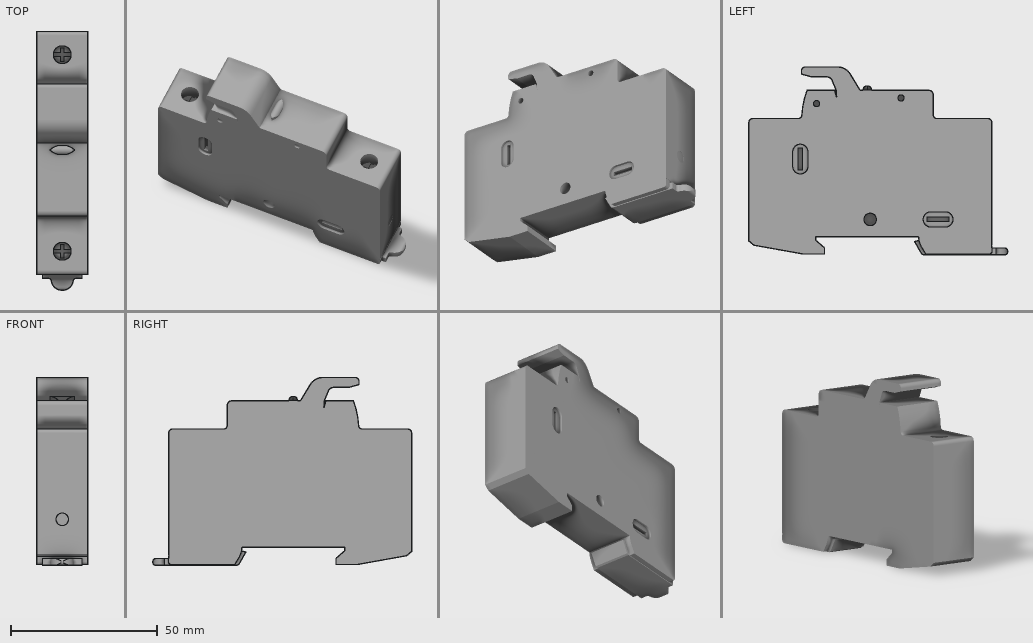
import cadquery as cq


width = 17.5
overall_length = 88.35
overall_height = 64.1
body_length = 83.0
clip_overhang = overall_length - body_length

body_floor = 0.3
rail_top = 6.2
shoulder_top = 46.6
cabin_top = 56.2
shoulder_radius = 1.4
cabin_radius = 1.7

left_face = -width / 2
margin = 0.9


def side_prism(sketch):
    """Close a Y-Z outline and extrude it across the full width."""
    return sketch.close().extrude(width / 2, both=True)


def round_edges(solid, points, radius):
    """Fillet the edges parallel to X that pass nearest the given (y, z) points."""
    for y, z in points:
        edge = cq.selectors.NearestToPointSelector((0, y, z))
        solid = solid.edges("|X").edges(edge).fillet(radius)
    return solid


def side_sketch(y, z):
    """Workplane on the -X face, local x toward +Y and normal pointing into the part."""
    return cq.Workplane(cq.Plane((left_face, y, z), (0, 1, 0), (1, 0, 0)))


foot_front_y = 22.5
rail_front_y = 25.1
flank_bulge = (24.7, 4.4)
flank_end = (24.1, 2.9)
rail_rear_y = 60.1
hook_front_y = 57.1
hook_tip_top = 2.4
hook_root_z = 5.0
ramp_end_y = 64.4
heel_y = 81.2
heel_bottom = 3.3
heel_top = 4.8
cabin_front_y = 20.0
cabin_rear_y = 64.9
cabin_rear_top_y = 63.1
cabin_rear_bulge = (64.3, 51.95)
concave_radius = 1.15
foot_radius = 1.0


def make_housing():
    outline = (
        cq.Workplane("YZ")
        .moveTo(0, body_floor)
        .lineTo(0, shoulder_top)
        .lineTo(cabin_front_y, shoulder_top)
        .lineTo(cabin_front_y, cabin_top)
        .lineTo(cabin_rear_top_y, cabin_top)
        .threePointArc(cabin_rear_bulge, (cabin_rear_y, shoulder_top))
        .lineTo(body_length, shoulder_top)
        .lineTo(body_length, heel_top)
        .lineTo(heel_y, heel_bottom)
        .lineTo(ramp_end_y, body_floor)
        .lineTo(hook_front_y, body_floor)
        .lineTo(hook_front_y, hook_tip_top)
        .lineTo(rail_rear_y, hook_root_z)
        .lineTo(rail_rear_y, rail_top)
        .lineTo(rail_front_y, rail_top)
        .threePointArc(flank_bulge, flank_end)
        .lineTo(foot_front_y, body_floor)
    )
    housing = side_prism(outline)
    shoulder_edges = [
        (0, shoulder_top),
        (body_length, shoulder_top),
    ]
    inner_corners = [
        (cabin_front_y, shoulder_top),
        (cabin_rear_y, shoulder_top),
    ]
    housing = round_edges(housing, shoulder_edges, shoulder_radius)
    housing = round_edges(housing, [(cabin_front_y, cabin_top)], cabin_radius)
    housing = round_edges(housing, inner_corners, concave_radius)
    return round_edges(housing, [(0, body_floor)], foot_radius)


lever_front_y = 45.0
lever_front_top_y = 49.8
lever_front_radius = 5.1
lever_inner_y = 53.2
lever_inner_top_y = 55.0
lever_under_z = 60.7
lever_inner_radius = 1.9
lever_tip_y = 65.0
lever_tip_bottom = 61.7
lip_end_y = 61.6
gap_rear_y = 53.6
gap_bottom = (53.0, 53.9)
lever_tip_radius = 1.4


def make_lever():
    outline = (
        cq.Workplane("YZ")
        .moveTo(lever_front_y, cabin_top)
        .lineTo(lever_front_top_y, overall_height)
        .lineTo(lever_tip_y, overall_height)
        .lineTo(lever_tip_y, lever_tip_bottom)
        .lineTo(lip_end_y, lever_under_z)
        .lineTo(lever_inner_top_y, lever_under_z)
        .lineTo(lever_inner_y, cabin_top)
        .lineTo(lever_inner_y, cabin_top - margin)
        .lineTo(lever_front_y, cabin_top - margin)
    )
    lever = side_prism(outline)
    lever = round_edges(lever, [(lever_front_top_y, overall_height)], lever_front_radius)
    lever = round_edges(lever, [(lever_tip_y, overall_height)], lever_tip_radius)
    return round_edges(lever, [(lever_inner_top_y, lever_under_z)], lever_inner_radius)


def make_lever_gap():
    """Narrow wedge separating the lever from the cabin top behind it."""
    outline = (
        cq.Workplane("YZ")
        .moveTo(lever_inner_y, cabin_top)
        .lineTo(gap_rear_y, cabin_top)
        .lineTo(*gap_bottom)
    )
    return side_prism(outline)


indicator_y = 42.5
indicator_half_length = 4.2
indicator_half_width = 1.7
indicator_radius = 1.5


def make_indicator():
    lens = (
        cq.Workplane("XY", origin=(0, indicator_y, cabin_top - margin))
        .moveTo(-indicator_half_length, 0)
        .threePointArc((0, indicator_half_width), (indicator_half_length, 0))
        .threePointArc((0, -indicator_half_width), (-indicator_half_length, 0))
        .close()
        .extrude(indicator_radius + 2 * margin)
    )
    dome = (
        cq.Workplane("YZ", origin=(0, indicator_y, cabin_top))
        .circle(indicator_radius)
        .extrude(width / 2, both=True)
    )
    return lens.intersect(dome)


clip_half_width = 6.8
clip_thickness = 2.4
clip_step = 1.3
tab_neck = 3.8
tab_neck_y = -2.1
tab_corner_x = 4.15
tab_corner_y = -1.5
tab_root = 4.9
tab_tip_radius = 1.1
clip_height = 4.95
clip_top_front_y = 24.3
clip_top_rear_y = 24.9
clip_rear_y = 26.4
clip_rear_z = 4.6
clip_heel_y = 24.0
clip_heel_z = 0.35
clip_bottom_rear_y = 23.3


def make_clip():
    plan = (
        cq.Workplane("XY")
        .moveTo(-clip_half_width, clip_rear_y)
        .lineTo(-clip_half_width, -clip_step)
        .lineTo(-tab_root, -clip_step)
        .threePointArc((-tab_corner_x, tab_corner_y), (-tab_neck, tab_neck_y))
        .threePointArc((0, -clip_overhang), (tab_neck, tab_neck_y))
        .threePointArc((tab_corner_x, tab_corner_y), (tab_root, -clip_step))
        .lineTo(clip_half_width, -clip_step)
        .lineTo(clip_half_width, clip_rear_y)
        .close()
        .extrude(clip_height)
    )
    outline = (
        cq.Workplane("YZ")
        .moveTo(-clip_overhang, 0)
        .lineTo(-clip_overhang, clip_thickness)
        .lineTo(foot_front_y, clip_thickness)
        .lineTo(clip_top_front_y, clip_height)
        .lineTo(clip_top_rear_y, clip_height)
        .lineTo(clip_rear_y, clip_rear_z)
        .lineTo(clip_heel_y, clip_heel_z)
        .lineTo(clip_bottom_rear_y, 0)
    )
    profile = side_prism(outline)
    tip_edges = [(-clip_overhang, 0), (-clip_overhang, clip_thickness)]
    return plan.intersect(round_edges(profile, tip_edges, tab_tip_radius))


screw_positions_y = [7.95, 75.0]
screw_well_diameter = 6.1
screw_well_depth = 5.3
cross_length = 4.6
cross_slot = 1.3
cross_depth = 0.9


def make_screw_well(y):
    """Round well with a cross recess in its floor."""
    total_depth = screw_well_depth + cross_depth
    top = cq.Workplane("XY", origin=(0, y, shoulder_top))
    radius = screw_well_diameter / 2
    well = top.circle(radius).extrude(-screw_well_depth)
    cross_limit = top.circle(radius).extrude(-total_depth)
    slot_x = top.rect(screw_well_diameter, cross_slot).extrude(-total_depth)
    slot_y = top.rect(cross_slot, cross_length).extrude(-total_depth)
    cross = slot_x.union(slot_y).intersect(cross_limit)
    return well.union(cross)


window_length = 10.2
window_width = 5.2
window_depth = 0.9
blade_length = 7.6
blade_width = 1.5
blade_depth = 1.8
windows = [(65.4, 32.7, 90), (18.4, 12.1, 0)]

blind_depth = 5.3
pin_diameter = 2.1
rivet_diameter = 4.2
blind_holes = [
    (59.8, 51.6, pin_diameter),
    (31.0, 53.5, pin_diameter),
    (41.5, 12.1, rivet_diameter),
]


def make_window(y, z, angle):
    """Obround recess with a narrow slot in its floor."""
    recess = side_sketch(y, z).slot2D(window_length, window_width, angle).extrude(window_depth)
    blade = (
        side_sketch(y, z)
        .transformed(rotate=(0, 0, angle))
        .rect(blade_length, blade_width)
        .extrude(window_depth + blade_depth)
    )
    return recess.union(blade)


def make_blind_hole(y, z, diameter):
    return side_sketch(y, z).circle(diameter / 2).extrude(blind_depth)


spot_diameter = 4.2
spot_z = 15.7
groove_z = 3.3
groove_height = 0.4
shallow_depth = 0.1


def make_front_marks():
    """Shallow round spot and a hairline groove above the clip tab."""
    front = cq.Workplane("XZ")
    spot = front.center(0, spot_z).circle(spot_diameter / 2).extrude(-shallow_depth)
    groove = front.center(0, groove_z).rect(width, groove_height).extrude(-shallow_depth)
    return spot.union(groove)


result = make_housing().union(make_lever()).cut(make_lever_gap())
result = result.union(make_indicator()).union(make_clip())
for screw_y in screw_positions_y:
    result = result.cut(make_screw_well(screw_y))
for window in windows:
    result = result.cut(make_window(*window))
for hole in blind_holes:
    result = result.cut(make_blind_hole(*hole))
result = result.cut(make_front_marks())